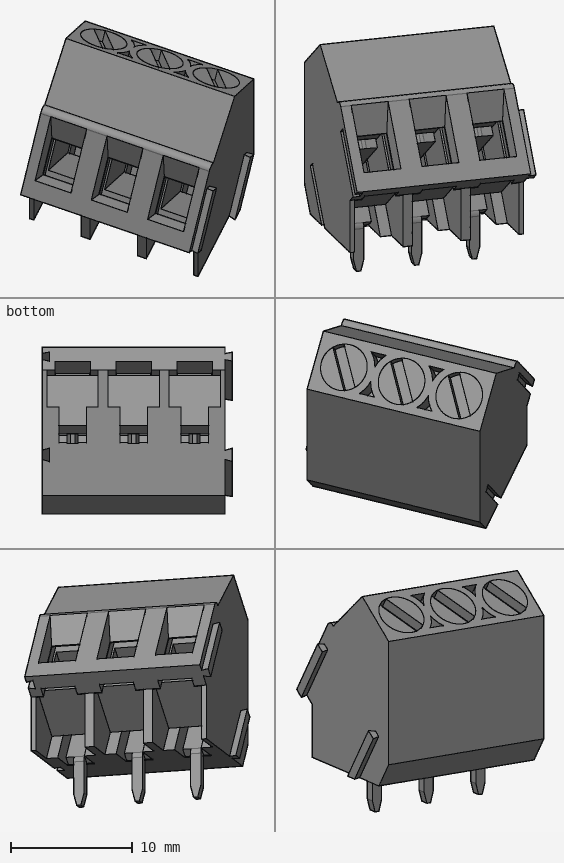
import cadquery as cq
import math


tilt = 35.0
pole_count = 3
pitch = 5.0
pole_places = [pitch * (i + 0.5) for i in range(pole_count)]
housing_width = pole_count * pitch

back_chamfer_forward = 1.25
top_height = 10.37
ridge_forward = 12.26
face_forward = 14.55
overhang_height = -3.1
front_depth = 11.85
bump_radius = 0.57
bump_height = 4.3
bump_start_angle = 45.0

partition = 0.8
cage_width = pitch - partition
cage_front = ridge_forward
cage_back = 7.22
cage_bottom = -2.35
cage_wall = 1.18
window_width = 2.55
window_bottom = cage_bottom + cage_wall
window_top = 2.31
cage_top = window_top + cage_wall
deep_below = -11.46

entry_width = 3.19
entry_bottom = -1.49
entry_top = 4.32
throat_width = 2.79
throat_bottom = -1.32
throat_top = 2.0
throat_forward = 13.24
passage_forward = 13.15
passage_width = 2.9

screw_forward = (cage_front + cage_back) / 2
head_diameter = 3.9
head_height = 2.3
shank_diameter = 2.4
slot_width = 0.95
slot_depth = 1.0
slot_angle = -60.0

pocket_arc_radius = 2.58
pocket_reach = 1.8
pocket_depth = 2.0

sheet = 0.8
contact_width = 2.27
tongue_forward = 10.98
tongue_flat = 0.32
tongue_sweep = 0.11
leg_back = 4.81
leg_bottom = -3.25
pin_width = 0.9
pin_bottom = -3.57
pin_taper_top = -2.58
pin_tip_width = 0.36

dovetail_height = 0.6
dovetail_root = 0.63
dovetail_head = 0.9
dovetail_top = 2.55
back_dovetail_forward = 4.0
front_dovetail_forward = 13.62


def tilted(shape):
    """Turn a shape from the untilted frame into its place in the part."""
    return shape.rotate((0, 0, 0), (1, 0, 0), -tilt)


def tilted_point(forward, height):
    """(Y, Z) of a point given in the untilted frame."""
    angle = math.radians(tilt)
    return (
        height * math.sin(angle) - forward * math.cos(angle),
        height * math.cos(angle) + forward * math.sin(angle),
    )


def block(width, back, front, bottom, top):
    """Box centred on X = 0 in the untilted frame."""
    box = cq.Workplane("XY").box(width, front - back, top - bottom)
    return box.translate((0, -(front + back) / 2, (top + bottom) / 2))


def screw_cylinder(diameter, bottom, top):
    """Cylinder on the screw axis in the untilted frame."""
    cylinder = cq.Workplane("XY").circle(diameter / 2).extrude(top - bottom)
    return cylinder.translate((0, -screw_forward, bottom))


def at_pole(shape, place):
    return shape.translate((place, 0, 0))


def housing_blank():
    """Solid prism with the side outline of the housing."""
    angle = math.radians(tilt)
    bump_y, bump_z = tilted_point(face_forward - bump_radius, bump_height)

    def bump_point(degrees):
        turn = math.radians(degrees)
        return (bump_y + bump_radius * math.cos(turn), bump_z + bump_radius * math.sin(turn))

    bump_end_angle = 180.0 - tilt
    underside_z = (overhang_height + front_depth * math.sin(angle)) / math.cos(angle)
    outline = (
        cq.Workplane("YZ")
        .moveTo(-front_depth, 0)
        .lineTo(-back_chamfer_forward / math.cos(angle), 0)
        .lineTo(0, back_chamfer_forward / math.sin(angle))
        .lineTo(0, top_height / math.cos(angle))
        .lineTo(*tilted_point(ridge_forward, top_height))
        .lineTo(*bump_point(bump_start_angle))
        .threePointArc(bump_point((bump_start_angle + bump_end_angle) / 2), bump_point(bump_end_angle))
        .lineTo(*tilted_point(face_forward, overhang_height))
        .lineTo(-front_depth, underside_z)
        .close()
    )
    return outline.extrude(housing_width)


def wire_funnel():
    """Tapered mouth of a wire entry, followed by its straight throat."""
    mouth = cq.Workplane("XZ", origin=(0, -face_forward, 0)).center(0, (entry_bottom + entry_top) / 2)
    throat_rise = (throat_bottom + throat_top - entry_bottom - entry_top) / 2
    funnel = (
        mouth.rect(entry_width, entry_top - entry_bottom)
        .workplane(offset=throat_forward - face_forward)
        .center(0, throat_rise)
        .rect(throat_width, throat_top - throat_bottom)
        .loft(ruled=True)
    )
    return funnel.union(block(throat_width, ridge_forward, throat_forward, throat_bottom, throat_top))


def pole_cavity():
    """Everything that one pole removes from the housing, in the untilted frame."""
    chamber = block(cage_width, cage_back, cage_front, deep_below, cage_top)
    passage = block(passage_width, cage_back, passage_forward, deep_below, cage_top)
    contact_slot = block(contact_width, leg_back, cage_back, deep_below, window_top)
    shank_hole = screw_cylinder(shank_diameter, cage_top, top_height)
    head_bore = screw_cylinder(head_diameter, top_height - head_height, top_height)
    return chamber.union(passage).union(contact_slot).union(wire_funnel()).union(shank_hole).union(head_bore)


def pocket_pair():
    """Two three-cornered pockets between neighbouring screws, bounded by arcs around the screws."""
    back = screw_forward - pocket_reach
    front = screw_forward + pocket_reach
    floor = top_height - pocket_depth
    strip = block(pitch, back, front, floor, top_height)
    around_screw = screw_cylinder(2 * pocket_arc_radius, floor, top_height)
    for side in (-1, 1):
        strip = strip.cut(around_screw.translate((side * pitch / 2, 0, 0)))
    return strip


def dovetail(forward, bottom):
    """Tilted dovetail bar growing from X = 0 toward +X, cut off level with the housing bottom."""
    bar = (
        cq.Workplane("XY", origin=(0, -forward, bottom))
        .moveTo(0, -dovetail_root / 2)
        .lineTo(dovetail_height, -dovetail_head / 2)
        .lineTo(dovetail_height, dovetail_head / 2)
        .lineTo(0, dovetail_root / 2)
        .close()
        .extrude(dovetail_top - bottom)
    )
    space_above_bottom = cq.Workplane("XY").box(
        housing_width, 2 * housing_width, housing_width, centered=(True, True, False)
    )
    return tilted(bar).intersect(space_above_bottom)


def make_housing():
    housing = housing_blank()
    for place in pole_places:
        housing = housing.cut(at_pole(tilted(pole_cavity()), place))
    for gap in range(1, pole_count):
        housing = housing.cut(at_pole(tilted(pocket_pair()), gap * pitch))

    for bar in (
        dovetail(back_dovetail_forward, deep_below),
        dovetail(front_dovetail_forward, overhang_height),
    ):
        housing = housing.cut(bar)
        housing = housing.union(bar.translate((housing_width, 0, 0)))

    for place in pole_places:
        housing = housing.cut(at_pole(make_contact(), place))
    return housing


def make_cage():
    """Clamp cage: a tube open toward the wire, with the screw hole in its top."""
    cage = block(cage_width, cage_back, cage_front, cage_bottom, cage_top)
    cage = cage.cut(block(window_width, cage_back, cage_front, window_bottom, window_top))
    return tilted(cage.cut(screw_cylinder(shank_diameter, window_top, cage_top)))


def make_screw():
    """Slotted screw, flush with the top face and resting on the contact tongue."""
    screw = screw_cylinder(head_diameter, top_height - head_height, top_height)
    screw = screw.union(screw_cylinder(shank_diameter, window_top, top_height - head_height))
    slot = cq.Workplane("XY").box(2 * head_diameter, slot_width, 2 * slot_depth)
    slot = slot.rotate((0, 0, 0), (0, 0, 1), slot_angle).translate((0, -screw_forward, top_height))
    return tilted(screw.cut(slot))


def make_contact():
    """Sheet contact: tongue inside the cage, leg behind the cage and a vertical solder pin."""
    tongue = (
        cq.Workplane("XY", origin=(0, 0, window_top - sheet))
        .moveTo(-contact_width / 2, -leg_back)
        .lineTo(-contact_width / 2, -(tongue_forward - tongue_sweep))
        .lineTo(-tongue_flat / 2, -tongue_forward)
        .lineTo(tongue_flat / 2, -tongue_forward)
        .lineTo(contact_width / 2, -(tongue_forward - tongue_sweep))
        .lineTo(contact_width / 2, -leg_back)
        .close()
        .extrude(sheet)
    )
    leg = block(contact_width, leg_back, leg_back + sheet, leg_bottom, window_top)

    bend_y, bend_z = tilted_point(leg_back, leg_bottom)
    middle = math.radians(180.0 - tilt / 2)
    bend = (
        cq.Workplane("YZ")
        .moveTo(bend_y, bend_z)
        .lineTo(*tilted_point(leg_back + sheet, leg_bottom))
        .threePointArc(
            (bend_y + sheet * math.cos(middle), bend_z + sheet * math.sin(middle)), (bend_y - sheet, bend_z)
        )
        .close()
        .extrude(pin_width / 2, both=True)
    )
    pin = (
        cq.Workplane("XZ", origin=(0, bend_y, 0))
        .moveTo(-pin_width / 2, bend_z)
        .lineTo(-pin_width / 2, pin_taper_top)
        .lineTo(-pin_tip_width / 2, pin_bottom)
        .lineTo(pin_tip_width / 2, pin_bottom)
        .lineTo(pin_width / 2, pin_taper_top)
        .lineTo(pin_width / 2, bend_z)
        .close()
        .extrude(sheet)
    )
    return tilted(tongue.union(leg)).union(bend).union(pin)


housing = make_housing()
cages = [at_pole(make_cage(), place) for place in pole_places]
screws = [at_pole(make_screw(), place) for place in pole_places]
contacts = [at_pole(make_contact(), place) for place in pole_places]

result = cq.Compound.makeCompound(
    [housing.val()]
    + [cage.val() for cage in cages]
    + [screw.val() for screw in screws]
    + [contact.val() for contact in contacts]
)